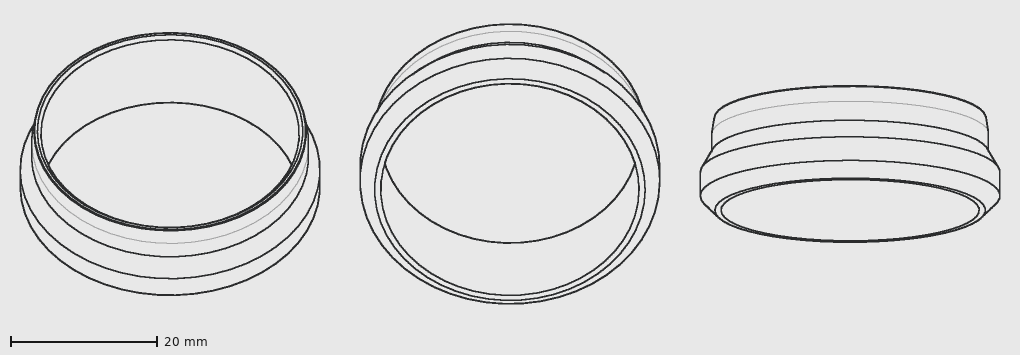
import cadquery as cq

height = 13.0
body_radius = 41 / 2
neck_radius = 37.9 / 2
bore_radius = 35.3 / 2

bottom_chamfer = 2.0
body_top = 5.35
neck_bottom = 8.05
neck_top = 10.75
lip_radius = 18.6

lip_bevel_width = 0.1
lip_bevel_height = 0.12

bore_chamfer = 0.5

section = [
    (bore_radius, 0),
    (body_radius - bottom_chamfer, 0),
    (body_radius, bottom_chamfer),
    (body_radius, body_top),
    (neck_radius, neck_bottom),
    (neck_radius, neck_top),
    (lip_radius, height - lip_bevel_height),
    (lip_radius - lip_bevel_width, height),
    (bore_radius + bore_chamfer, height),
    (bore_radius, height - bore_chamfer),
]

result = cq.Workplane("XZ").polyline(section).close().revolve(360, (0, 0, 0), (0, 1, 0))